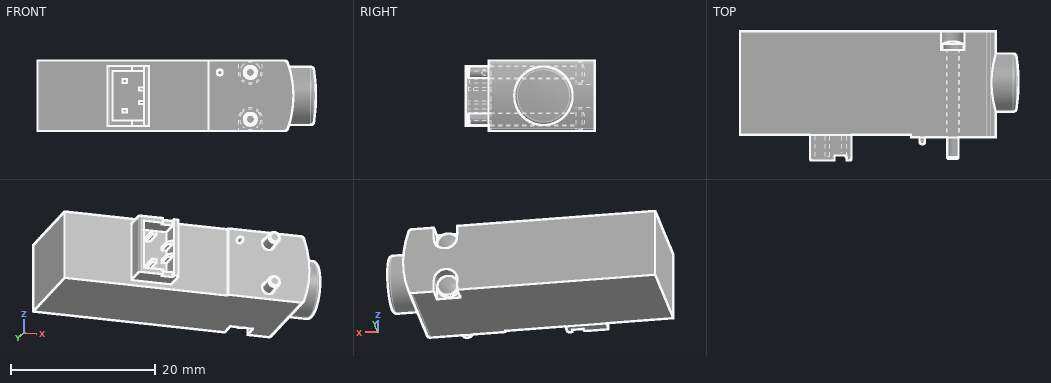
import cadquery as cq
import math


total_length = 38.66
height = 9.8
back_y = 14.75
nose_x = 35.5
nose_radius = 14.0
nose_corner_radius = 0.55
step_x = 23.7
step_depth = 0.35

button_diameter = 8.1
button_y = 7.6
button_edge_radius = 0.5
button_crown_height = 0.36
button_root_x = nose_x - 2.0

socket_x = 9.7
socket_width = 5.8
socket_height = 8.3
socket_front_y = -3.2
socket_wall = 0.7
socket_corner_radius = 0.32
keyway_width = 1.65
keyway_depth = 0.7
contact_x = 12.1
contact_width = 0.6
contact_height = 0.5
contact_spacing = 4.1
contact_recess = 0.55
rib_width = 0.7
rib_thickness = 0.4
rib_spacing = 1.87
rib_recess = 0.4

peg_x = 25.3
peg_diameter = 0.8
peg_length = 0.95

screw_x = 29.53
screw_spacing = 6.5
screw_diameter = 1.6
screw_tip_diameter = 1.3
screw_tip_y = -2.95
screw_tip_taper = 0.25
screw_hole_diameter = 1.8
head_diameter = 2.9
head_rim_height = 0.8
head_dome_height = 0.36
seat_width = 3.3
seat_depth = 2.6

half_height = height / 2
screw_z = screw_spacing / 2
seat_y = back_y - seat_depth


def box(x_range, y_range, z_range):
    """Box spanning the given (low, high) ranges."""
    ranges = (x_range, y_range, z_range)
    sizes = [high - low for low, high in ranges]
    corner = tuple(low for low, high in ranges)
    return cq.Workplane("XY").box(*sizes, centered=False).translate(corner)


def rod(diameter, x, z, y_start, y_end):
    """Round bar along Y, from y_start up to y_end."""
    plane = cq.Plane(origin=(x, y_start, z), xDir=(1, 0, 0), normal=(0, 1, 0))
    return cq.Workplane(plane).circle(diameter / 2).extrude(y_end - y_start)


def make_block():
    """Block with a cylindrical nose and a raised mounting face."""
    nose_sag = nose_radius - math.sqrt(nose_radius**2 - half_height**2)
    nose_edge_x = nose_x - nose_sag
    block = (
        cq.Workplane("XZ", origin=(0, back_y, 0))
        .moveTo(0, -half_height)
        .lineTo(nose_edge_x, -half_height)
        .threePointArc((nose_x, 0), (nose_edge_x, half_height))
        .lineTo(0, half_height)
        .close()
        .extrude(back_y)
    )
    block = block.edges("|Y and (not <X)").fillet(nose_corner_radius)
    return block.cut(box((0, step_x), (0, step_depth), (-half_height, half_height)))


def make_button():
    """Round button along X with a domed end and a rounded rim."""
    radius = button_diameter / 2
    crown_radius = (radius**2 + button_crown_height**2) / (2 * button_crown_height)
    middle_drop = crown_radius - math.sqrt(crown_radius**2 - (radius / 2) ** 2)
    button = (
        cq.Workplane("XY")
        .moveTo(button_root_x, 0)
        .lineTo(button_root_x, radius)
        .lineTo(total_length - button_crown_height, radius)
        .threePointArc((total_length - middle_drop, radius / 2), (total_length, 0))
        .close()
        .revolve(360, (0, 0, 0), (1, 0, 0))
    )
    rim = cq.selectors.BoxSelector(
        (total_length - 2 * button_crown_height, -radius, -radius),
        (total_length - button_crown_height / 2, radius, radius),
    )
    return button.edges("%CIRCLE").edges(rim).fillet(button_edge_radius).translate((0, button_y, 0))


def make_socket():
    """Open plug socket with keyways and two bevelled ribs."""
    right_x = socket_x + socket_width
    cavity_left = socket_x + socket_wall
    cavity_right = right_x - socket_wall
    half_socket = socket_height / 2
    half_cavity = half_socket - socket_wall
    depth_range = (socket_front_y, step_depth)

    socket = box((socket_x, right_x), depth_range, (-half_socket, half_socket))
    socket = socket.edges("|Z and <Y").fillet(socket_corner_radius)
    socket = socket.cut(box((cavity_left, cavity_right), depth_range, (-half_cavity, half_cavity)))
    socket = socket.cut(
        box(
            (cavity_right - keyway_width, cavity_right),
            (socket_front_y, socket_front_y + keyway_depth),
            (-half_socket, half_socket),
        )
    )

    rib_tip_y = socket_front_y + rib_recess
    for side in (-1, 1):
        rib = (
            cq.Workplane("XY", origin=(0, 0, side * rib_spacing / 2))
            .moveTo(cavity_right, step_depth)
            .lineTo(cavity_right, rib_tip_y)
            .lineTo(cavity_right - rib_width, rib_tip_y + rib_width)
            .lineTo(cavity_right - rib_width, step_depth)
            .close()
            .extrude(rib_thickness / 2, both=True)
        )
        socket = socket.union(rib)
    return socket


def make_contact(z):
    """Rectangular plug contact standing on the socket floor."""
    return box(
        (contact_x - contact_width / 2, contact_x + contact_width / 2),
        (socket_front_y + contact_recess, step_depth),
        (z - contact_height / 2, z + contact_height / 2),
    )


def make_peg():
    """Locating peg with a hemispherical tip."""
    radius = peg_diameter / 2
    peg = rod(peg_diameter, peg_x, screw_z, radius - peg_length, 0)
    tip = cq.Workplane("XY").sphere(radius).translate((peg_x, radius - peg_length, screw_z))
    return peg.union(tip)


def make_screw_seat(side):
    """Clearance hole and round-bottomed head recess, open to the near top or bottom face."""
    z = side * screw_z
    z_range = sorted((z, side * half_height))
    recess = rod(seat_width, screw_x, z, seat_y, back_y)
    mouth = box((screw_x - seat_width / 2, screw_x + seat_width / 2), (seat_y, back_y), z_range)
    hole = rod(screw_hole_diameter, screw_x, z, 0, seat_y)
    return recess.union(mouth).union(hole)


def make_housing():
    housing = make_block().union(make_button()).union(make_socket()).union(make_peg())
    for side in (-1, 1):
        housing = housing.union(make_contact(side * contact_spacing / 2))
        housing = housing.cut(make_screw_seat(side))
    return housing


def make_screw(z):
    """Screw along Y with a domed head and a tapered tip."""
    head_radius = head_diameter / 2
    rim_y = seat_y + head_rim_height
    crown_y = rim_y + head_dome_height
    dome_radius = (head_radius**2 + head_dome_height**2) / (2 * head_dome_height)
    middle_drop = dome_radius - math.sqrt(dome_radius**2 - (head_radius / 2) ** 2)
    return (
        cq.Workplane("XY")
        .moveTo(0, screw_tip_y)
        .lineTo(screw_tip_diameter / 2, screw_tip_y)
        .lineTo(screw_diameter / 2, screw_tip_y + screw_tip_taper)
        .lineTo(screw_diameter / 2, seat_y)
        .lineTo(head_radius, seat_y)
        .lineTo(head_radius, rim_y)
        .threePointArc((head_radius / 2, crown_y - middle_drop), (0, crown_y))
        .close()
        .revolve(360, (0, 0, 0), (0, 1, 0))
        .translate((screw_x, 0, z))
    )


housing = make_housing()
screws = [make_screw(side * screw_z) for side in (-1, 1)]

result = cq.Compound.makeCompound([housing.val(), *[screw.val() for screw in screws]])